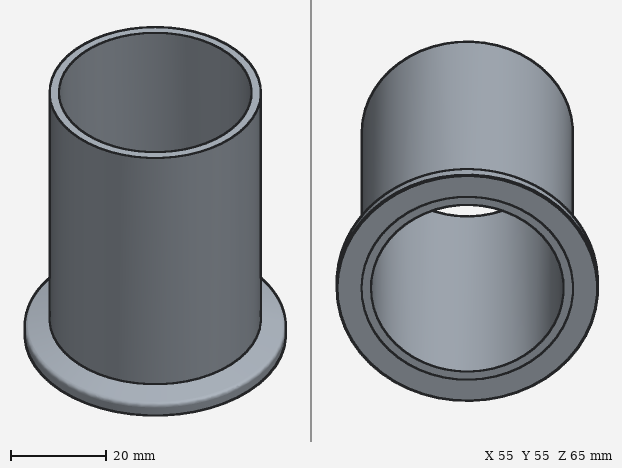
import cadquery as cq
import math

tube_length = 65.0
tube_diameter = 44.45
bore_diameter = 40.5

collar_diameter = 55.0
collar_height = 4.4
collar_slope = 15.0
collar_rim_radius = 1.0
collar_bottom_chamfer = 0.2


def make_tube():
    """Plain open tube standing on its end."""
    return cq.Workplane("XY").circle(tube_diameter / 2).circle(bore_diameter / 2).extrude(tube_length)


def make_collar():
    """Ring with a conical top and a rounded upper rim and a chamfered lower rim, fitted on the tube."""
    inner_radius = tube_diameter / 2
    outer_radius = collar_diameter / 2
    slope_drop = (outer_radius - inner_radius) * math.tan(math.radians(collar_slope))
    rim_height = collar_height - slope_drop
    ring = (
        cq.Workplane("XZ")
        .moveTo(inner_radius, 0)
        .lineTo(outer_radius, 0)
        .lineTo(outer_radius, rim_height)
        .lineTo(inner_radius, collar_height)
        .close()
        .revolve(360, (0, 0, 0), (0, 1, 0))
    )
    outermost = cq.selectors.RadiusNthSelector(-1)
    rounded = ring.faces("%CONE").edges(outermost).fillet(collar_rim_radius)
    return rounded.faces("<Z").edges(outermost).chamfer(collar_bottom_chamfer)


tube = make_tube()
collar = make_collar()

result = cq.Compound.makeCompound([tube.val(), collar.val()])